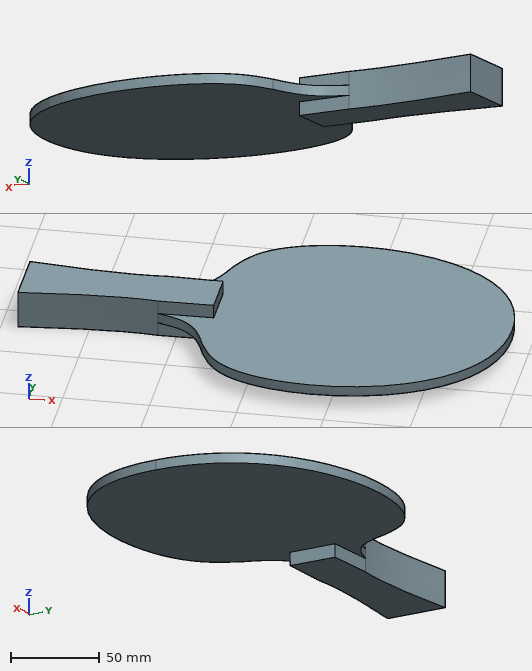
import cadquery as cq

total_length = 281.01
handle_thickness = 22.0
blade_thickness = 6.0

handle_length = 112.0
butt_half_width = 19.2
handle_end_half_width = 14.9
throat_x = 80.0
throat_half_width = 15.4

butt_corner = (0.0, butt_half_width)
throat = (throat_x, throat_half_width)
handle_end = (handle_length, handle_end_half_width)
shoulder = (111.4, 47.8)
tip = (total_length, 0.0)

flare_controls = [(24.6, 16.4), (56.0, 12.8)]
neck_controls = [(94.2, 19.6), (103.6, 23.0)]
blade_controls = [(123.0, 72.7), (128.3, 83.4), (194.4, 107.23), (total_length, 83.3)]


def symmetric_plate(side_outline, thickness):
    """Plate bounded by an open outline on the +Y side and its mirror image about the X axis."""
    return side_outline.mirrorX().extrude(thickness)


def make_blade():
    """Thin plate that leaves the handle at the throat, flares at the neck and rounds off at the tip."""
    side_outline = (
        cq.Workplane("XY", origin=(0, 0, -blade_thickness / 2))
        .moveTo(throat_x, 0)
        .lineTo(*throat)
        .bezier([throat, *neck_controls, shoulder])
        .bezier([shoulder, *blade_controls, tip])
    )
    return symmetric_plate(side_outline, blade_thickness)


def make_handle():
    """Thick grip: flared from butt to throat, then tapering straight to a square end over the blade."""
    side_outline = (
        cq.Workplane("XY", origin=(0, 0, -handle_thickness / 2))
        .moveTo(0, 0)
        .lineTo(*butt_corner)
        .bezier([butt_corner, *flare_controls, throat])
        .lineTo(*handle_end)
        .lineTo(handle_length, 0)
    )
    return symmetric_plate(side_outline, handle_thickness)


result = make_handle().union(make_blade())